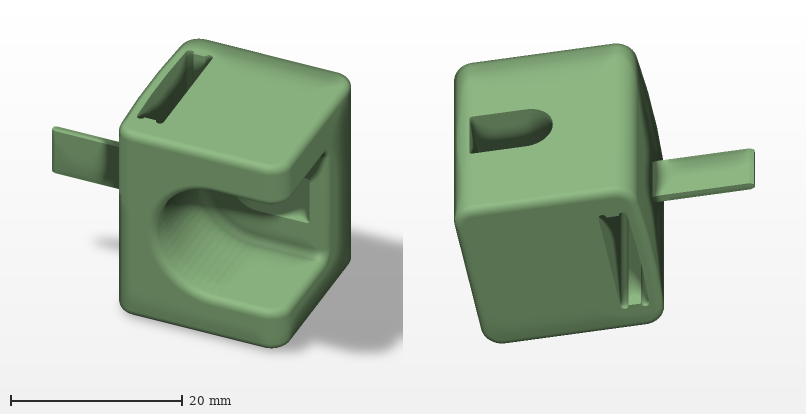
import cadquery as cq

overall_length = 34

body_length = 22.0
body_width = 22.0
body_height = 26.0
bow_height = 0.5
corner_radius = 2.5
edge_radius = 1.0

recess_radius = 7.48
recess_center_x = body_length - 8.8
floor_thickness = 9.0
floor_y = body_width / 2 - floor_thickness

window_radius = 3.15
window_center_x = body_length - 8.97
window_end_x = body_length - 2.25
window_corner_radius = 0.3

slot_wall = 1.55
slot_back_x = 5.15
slot_width = 14.2
relief_radius = 0.48

blade_length = overall_length - body_length
blade_thickness = 1.0
blade_height = 5.98
blade_bevel_length = 0.5
blade_bevel_depth = 0.25
blade_center_y = -0.2


def bow_x(y):
    """X of the bowed face at a given Y (a shallow arc, treated as a parabola)."""
    return bow_height * (2 * y / body_width) ** 2


def prism_through_height(outline):
    return outline.extrude(body_height / 2, both=True)


def u_prism(center_x, end_x, radius, y_start, y_end):
    """U-shaped prism along Y: half-round at center_x, straight on to end_x."""
    return (
        cq.Workplane("XZ", origin=(0, y_end, 0))
        .moveTo(end_x, radius)
        .lineTo(center_x, radius)
        .threePointArc((center_x - radius, 0), (center_x, -radius))
        .lineTo(end_x, -radius)
        .close()
        .extrude(y_end - y_start)
    )


def make_body():
    half_width = body_width / 2
    outline = (
        cq.Workplane("XY")
        .moveTo(bow_height, half_width)
        .threePointArc((0, 0), (bow_height, -half_width))
        .lineTo(body_length, -half_width)
        .lineTo(body_length, half_width)
        .close()
    )
    return prism_through_height(outline).edges("|Z").fillet(corner_radius)


def cut_recess(body):
    recess = u_prism(recess_center_x, body_length, recess_radius, -body_width / 2, floor_y)
    floor_edges = recess.faces(">Y").edges("not >X")
    return body.cut(floor_edges.fillet(edge_radius))


def round_outer_edges(body):
    rim = body.faces("<Y or >X or >Z or <Z").edges()
    return rim.fillet(edge_radius)


def make_window():
    window = u_prism(window_center_x, window_end_x, window_radius, floor_y, body_width / 2)
    return window.edges("|Y and >X").fillet(window_corner_radius)


def make_slot():
    half_width = slot_width / 2
    side_x = slot_wall + bow_x(half_width)
    slot = prism_through_height(
        cq.Workplane("XY")
        .moveTo(side_x, half_width)
        .threePointArc((slot_wall, 0), (side_x, -half_width))
        .lineTo(slot_back_x, -half_width)
        .lineTo(slot_back_x, half_width)
        .close()
    )
    for x in (side_x + relief_radius, slot_back_x - relief_radius):
        for y in (-half_width, half_width):
            relief = cq.Workplane("XY").center(x, y).circle(relief_radius)
            slot = slot.union(prism_through_height(relief))
    return slot


def make_blade():
    half_side = blade_thickness / 2
    half_end = half_side - blade_bevel_depth
    root_x = slot_wall / 2
    outline = [
        (-blade_length, -half_end),
        (-blade_length + blade_bevel_length, -half_side),
        (-blade_bevel_length, -half_side),
        (root_x, -half_end),
        (root_x, half_end),
        (-blade_bevel_length, half_side),
        (-blade_length + blade_bevel_length, half_side),
        (-blade_length, half_end),
    ]
    profile = cq.Workplane("XY").center(0, blade_center_y).polyline(outline).close()
    return profile.extrude(blade_height / 2, both=True)


result = (
    round_outer_edges(cut_recess(make_body()))
    .cut(make_window())
    .cut(make_slot())
    .union(make_blade())
)